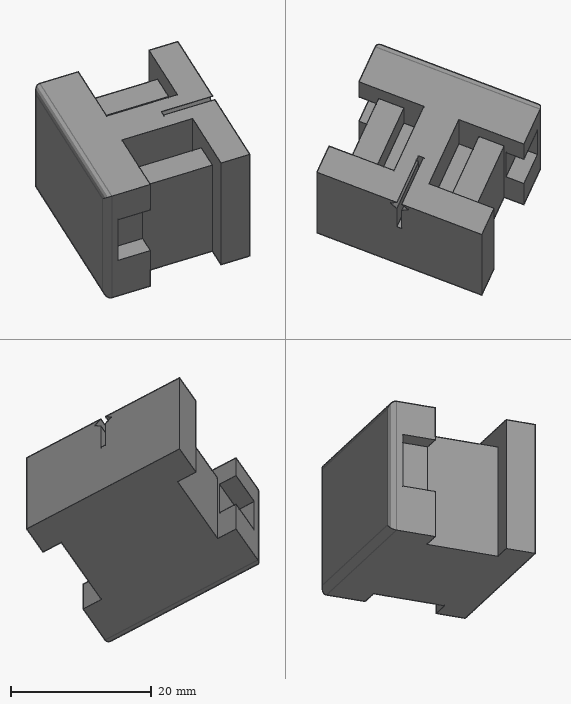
import cadquery as cq

WIDTH = 25.5
DEPTH = 22.5
HEIGHT = 20.0
FRONT_EDGE_RADIUS = 1.0

FRONT_PLATE = 7.0
BACK_PLATE = 4.5
GAP = DEPTH - FRONT_PLATE - BACK_PLATE

SIDE_RECESS = 3.05
BODY_WIDTH = WIDTH - 2 * SIDE_RECESS
WEB_WIDTH = 5.4
SIDE_WALL = 3.9
SIDE_WALL_DROP = 3.05
WELL_WIDTH = (BODY_WIDTH - WEB_WIDTH) / 2 - SIDE_WALL
WELL_FLOOR = 12.0

SLOT_WIDTH = 0.75
SLOT_LENGTH = 8.0
SLOT_FLOOR = WELL_FLOOR

GROOVE_CENTRE_DROP = 1.0
GROOVE_HALF_DIAGONAL = GROOVE_CENTRE_DROP + SLOT_WIDTH / 2

NOTCH_LENGTH = 5.0
NOTCH_BOTTOM = 7.0
NOTCH_HEIGHT = 8.0
NOTCH_DEPTH = 2.75


def box(x_size, y_size, z_size, x_min, y_min, z_min):
    """Box placed by its lowest corner."""
    return cq.Workplane("XY").box(x_size, y_size, z_size, centered=False).translate((x_min, y_min, z_min))


def mirrored_pair(shape):
    """The shape together with its mirror image across the YZ plane."""
    return shape.union(shape.mirror("YZ"))


def front_block():
    """Full envelope with rounded edges all round the front face."""
    block = box(WIDTH, DEPTH, HEIGHT, -WIDTH / 2, 0, 0)
    return block.faces("<Y").edges().fillet(FRONT_EDGE_RADIUS)


def side_recesses():
    """Full-height cuts between the plates, outside the side walls."""
    return mirrored_pair(box(SIDE_RECESS, GAP, HEIGHT, BODY_WIDTH / 2, FRONT_PLATE, 0))


def side_wall_drops():
    """Cuts that lower the side walls below the top of the web."""
    x_min = BODY_WIDTH / 2 - SIDE_WALL
    return mirrored_pair(box(SIDE_WALL, GAP, SIDE_WALL_DROP, x_min, FRONT_PLATE, HEIGHT - SIDE_WALL_DROP))


def wells():
    """Deep wells between the web and each side wall."""
    return mirrored_pair(box(WELL_WIDTH, GAP, HEIGHT - WELL_FLOOR, WEB_WIDTH / 2, FRONT_PLATE, WELL_FLOOR))


def back_slot():
    """Slot running forward from the back face along the centre plane."""
    y_min = DEPTH - SLOT_LENGTH
    return box(SLOT_WIDTH, SLOT_LENGTH, HEIGHT - SLOT_FLOOR, -SLOT_WIDTH / 2, y_min, SLOT_FLOOR)


def diamond_groove():
    """Square groove turned on its corner, as long as the slot and open at the top and back."""
    half = GROOVE_HALF_DIAGONAL
    sketch_plane = cq.Workplane("XZ", origin=(0, DEPTH, HEIGHT - GROOVE_CENTRE_DROP))
    diamond = sketch_plane.polyline([(half, 0), (0, half), (-half, 0), (0, -half)]).close()
    return diamond.extrude(SLOT_LENGTH)


def grip_notches():
    """Notches in both ends of the front plate."""
    x_min = WIDTH / 2 - NOTCH_DEPTH
    y_min = FRONT_PLATE - NOTCH_LENGTH
    return mirrored_pair(box(NOTCH_DEPTH, NOTCH_LENGTH, NOTCH_HEIGHT, x_min, y_min, NOTCH_BOTTOM))


result = (
    front_block()
    .cut(side_recesses())
    .cut(side_wall_drops())
    .cut(wells())
    .cut(back_slot())
    .cut(diamond_groove())
    .cut(grip_notches())
)